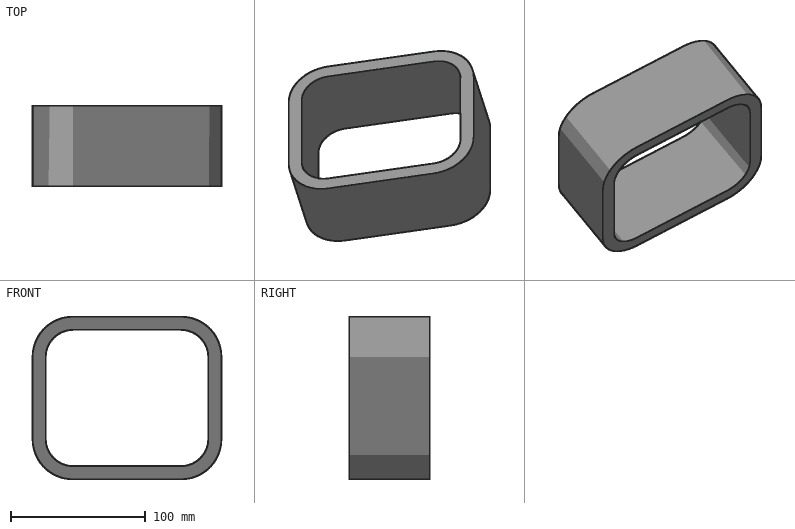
import cadquery as cq

width = 140.5
depth = 60.0
height = 121.0
wall = 10.0
outer_radius = 30.0
inner_radius = outer_radius - wall


def rounded_block(size_x, size_z, corner_radius):
    """Block centred on the origin with its four Y-direction edges rounded."""
    block = cq.Workplane("XY").box(size_x, depth, size_z)
    return block.edges("|Y").fillet(corner_radius)


outer_body = rounded_block(width, height, outer_radius)
opening = rounded_block(width - 2 * wall, height - 2 * wall, inner_radius)

result = outer_body.cut(opening)